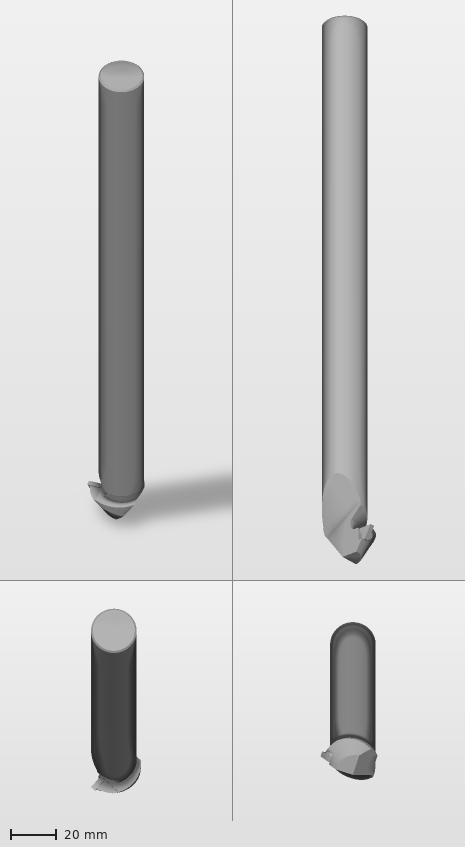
import cadquery as cq

total_height = 262.9
shank_radius = 10.0
shank_chamfer = 0.8
neck_top_z = 16.3
neck_center_y = 0.8

head_top_z = 11.5
head_radius = 13.5
head_center_x = -1.3
head_center_y = 0.8
relief_center_x = 1.3
relief_center_y = 0.8
relief_bottom_radius = 9.0
relief_slope = 0.58
heel_bottom_x = 0.3
heel_top_z = 13.5
shoulder_x = -8.5
shoulder_z = 11.0

flat_y = 1.0
run_out_z = 16.3
run_out_slope_x = -0.65
run_out_slope_y = 1.95

notch_depth_x = -4.2
notch_deepest_z = 14.2
notch_top_x = -4.7
notch_start_z = 22.0
notch_foot_x = -6.0

tip_x = -15.0
rake_y = 0.0
insert_thickness = 2.4
insert_bottom_z = 5.5
insert_inner_x = -9.0
rib_radius = 1.45
rib_z = 7.4

clearance = 26.3


def cylinder(radius, center_x, center_y, bottom_z, top_z):
    base = cq.Workplane("XY", origin=(center_x, center_y, bottom_z))
    return base.circle(radius).extrude(top_z - bottom_z)


def xz_prism(outline, low_y, high_y):
    """Extrude a closed outline of the XZ plane between two Y positions."""
    return cq.Workplane("XZ", origin=(0, high_y, 0)).polyline(outline).close().extrude(high_y - low_y)


def make_shank():
    shank = cylinder(shank_radius, 0, 0, neck_top_z, total_height)
    shank = shank.faces(">Z").chamfer(shank_chamfer)
    neck = cylinder(shank_radius, 0, neck_center_y, head_top_z, neck_top_z)
    return shank.union(neck)


def make_head():
    rim = cylinder(head_radius, head_center_x, head_center_y, 0, head_top_z)
    relief_top_radius = relief_bottom_radius + relief_slope * head_top_z
    relief = cq.Solid.makeCone(
        relief_bottom_radius, relief_top_radius, head_top_z, cq.Vector(relief_center_x, relief_center_y, 0)
    )
    shoulder = xz_prism(
        [
            (shoulder_x, shoulder_z),
            (shoulder_x, head_top_z),
            (-clearance, head_top_z),
            (-clearance, shoulder_z),
        ],
        -clearance,
        clearance,
    )
    return rim.intersect(cq.Workplane(obj=relief)).cut(shoulder)


def make_heel_cut():
    slope = heel_top_z / (shank_radius - heel_bottom_x)
    outer_x = heel_bottom_x + clearance
    outline = [(heel_bottom_x, 0), (outer_x, slope * clearance), (outer_x, 0)]
    return xz_prism(outline, -clearance, clearance)


def make_notch_cut():
    upper_face_rise = notch_top_x + shank_radius
    return (
        cq.Workplane("XZ", origin=(0, clearance, 0))
        .moveTo(-clearance, head_top_z)
        .lineTo(notch_foot_x, head_top_z)
        .threePointArc((notch_depth_x, notch_deepest_z), (notch_top_x, notch_start_z - upper_face_rise))
        .lineTo(-shank_radius, notch_start_z)
        .lineTo(-clearance, notch_start_z)
        .close()
        .extrude(2 * clearance)
    )


def make_flat_cut():
    """Space behind the flat and below the slanted run-out plane."""
    far_y = flat_y + clearance

    def roof(x, y):
        return run_out_z + run_out_slope_x * x + run_out_slope_y * y

    def section(x):
        points = [(flat_y, -clearance), (flat_y, roof(x, flat_y)), (far_y, roof(x, far_y)), (far_y, -clearance)]
        return cq.Wire.makePolygon([cq.Vector(x, y, z) for y, z in points], close=True)

    return cq.Workplane(obj=cq.Solid.makeLoft([section(-clearance), section(clearance)], True))


def insert_block(high_y):
    """Ribbed block reaching out past the head, up to the given Y."""
    outline = [
        (-clearance, head_top_z),
        (insert_inner_x, head_top_z),
        (insert_inner_x, insert_bottom_z),
        (-clearance, insert_bottom_z),
    ]
    back_y = rake_y - insert_thickness
    rib = cq.Workplane("YZ", origin=(-clearance, back_y, rib_z)).circle(rib_radius)
    rib = rib.extrude(insert_inner_x + clearance)
    return xz_prism(outline, back_y, high_y).union(rib)


def make_insert():
    block = insert_block(rake_y)
    edge_bottom_x = tip_x + relief_slope * head_top_z
    edge_cut = xz_prism(
        [(tip_x, head_top_z), (edge_bottom_x, 0), (-clearance, 0), (-clearance, head_top_z)],
        -clearance,
        clearance,
    )
    return block.cut(edge_cut)


def make_insert_seat():
    """Insert pocket, open toward -X and through the flat above the rake face."""
    return insert_block(flat_y + clearance)


holder = (
    make_shank()
    .union(make_head())
    .cut(make_heel_cut())
    .cut(make_notch_cut())
    .cut(make_flat_cut())
    .cut(make_insert_seat())
)
insert = make_insert()

result = cq.Compound.makeCompound([holder.val(), insert.val()])